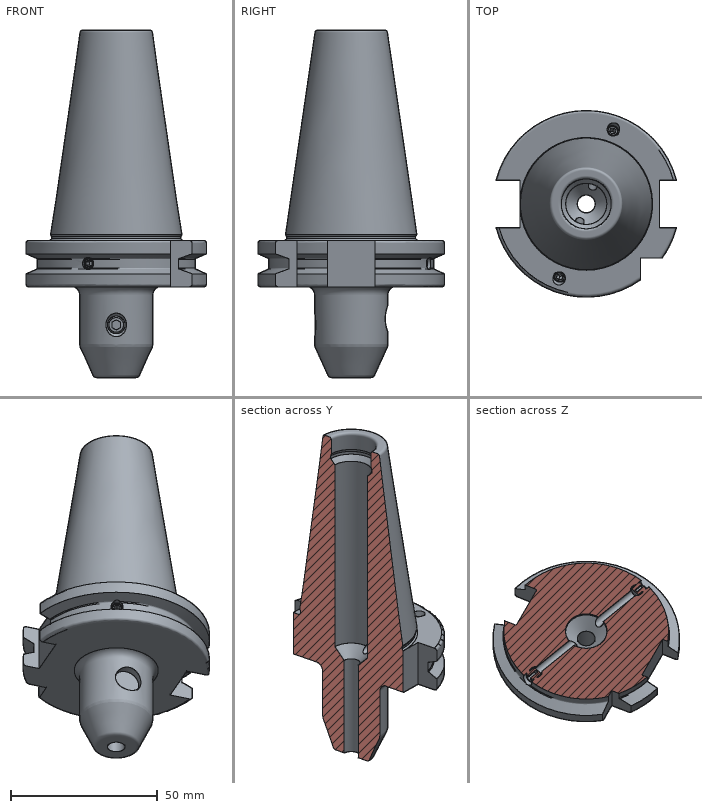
import cadquery as cq
import math

clearance = 1.0

gauge_radius = 44.45 / 2
taper_length = 68.4
taper_slope = 7 / 48
taper_top_radius = gauge_radius - taper_length * taper_slope
taper_top_rounding = 1.0
taper_end = -1.25
neck_top = -1.95
neck_bottom = -2.65
neck_radius = 22.0
neck_foot_radius = 22.6

flange_radius = 63.55 / 2
flange_top = -3.2
flange_bottom = -19.1
flange_rounding = 1.0
groove_middle = -11.2
groove_radius = 56.25 / 2
groove_half_width = 3.4
groove_flank_angle = 24.5
groove_rounding = 0.4

slot_width = 16.1
left_slot_floor = 22.6
right_slot_floor = 25.0
notch_edge = 18.5

nose_end = -50.0
body_radius = 12.5
body_root_rounding = 3.0
body_root_end = -21.85
nose_cone_start = -39.2
nose_cone_angle = 24.5
nose_shoulder_rounding = 2.5
nose_tip_rounding = 1.5

shank_bore_radius = 3.0
counterbore_radius = 8.5
counterbore_depth = 6.2
mouth_rounding = 1.0
undercut_radius = 8.8
undercut_flare_length = 0.9
undercut_end_depth = 8.15
thread_bore_radius = 7.0
shank_bore_length = 35.3
bore_cone_angle = 90

screw_height = nose_end + 18
screw_radius = 3.0
screw_top = 12.4
screw_length = 8.0
screw_chamfer = 0.5
screw_socket_width = 3.0
screw_socket_depth = 2.0
countersink_radius = 4.0

balance_hole_radius = 4.6
balance_hole_height = -29.9
balance_hole_floor = 9.5

coolant_angle = 70
channel_height = -11.1
channel_radius = 1.5
channel_plug_radius = 2.0
plug_socket_width = 2.0
plug_socket_depth = 3.4
plug_length = 4.0
plug_chamfer = 0.5
channel_plug_recess = 1.0
channel_plug_seat = groove_radius - channel_plug_recess - plug_length
port_circle_radius = 27.0
port_tilt = 22
port_radius = 2.1
port_plug_recess = 1.4


def tan_degrees(angle):
    return math.tan(math.radians(angle))


def about_z(body, angle):
    return body.rotate((0, 0, 0), (0, 0, 1), angle)


def about_y(body, angle):
    return body.rotate((0, 0, 0), (0, 1, 0), angle)


def turn(profile):
    """Revolve a profile of radius and height about Z, with the seam on the -Y side."""
    return about_z(profile.revolve(360, (0, 0, 0), (0, 1, 0)), -90)


def largest_circle_at(turned, height):
    """Largest circular edge of a turned body lying in the plane at the given height."""
    reach = 2 * flange_radius
    sliver = 0.01
    in_plane = cq.selectors.BoxSelector(
        (-reach, -reach, height - sliver),
        (reach, reach, height + sliver),
        boundingbox=True,
    )
    edges = turned.edges(in_plane).vals()
    return turned.newObject([max(edges, key=lambda edge: edge.BoundingBox().xlen)])


def rod(start, end, radius):
    """Cylinder between two points."""
    axis = cq.Vector(*end) - cq.Vector(*start)
    return cq.Workplane(obj=cq.Solid.makeCylinder(radius, axis.Length, cq.Vector(*start), axis))


def root_fillet_width(height):
    """How far the concave body root stands out from the body, at a height above its lower end."""
    return body_root_rounding - math.sqrt(body_root_rounding**2 - height**2)


def shank_and_flange():
    """Solid of revolution from the top of the taper down to the end of the nose."""
    root_height = flange_bottom - body_root_end
    middle_height = root_height / 2
    tip_radius = body_radius - (nose_cone_start - nose_end) * tan_degrees(nose_cone_angle)
    turned = turn(
        cq.Workplane("XZ")
        .moveTo(0, nose_end)
        .lineTo(tip_radius, nose_end)
        .lineTo(body_radius, nose_cone_start)
        .lineTo(body_radius, body_root_end)
        .threePointArc(
            (body_radius + root_fillet_width(middle_height), body_root_end + middle_height),
            (body_radius + root_fillet_width(root_height), flange_bottom),
        )
        .lineTo(flange_radius, flange_bottom)
        .lineTo(flange_radius, flange_top)
        .lineTo(neck_foot_radius, flange_top)
        .lineTo(neck_radius, neck_bottom)
        .lineTo(neck_radius, neck_top)
        .lineTo(gauge_radius - taper_end * taper_slope, taper_end)
        .lineTo(taper_top_radius, taper_length)
        .lineTo(0, taper_length)
        .close()
    )
    roundings = [
        (nose_end, nose_tip_rounding),
        (nose_cone_start, nose_shoulder_rounding),
        (flange_bottom, flange_rounding),
        (flange_top, flange_rounding),
        (taper_length, taper_top_rounding),
    ]
    for height, rounding in roundings:
        turned = largest_circle_at(turned, height).fillet(rounding)
    return turned


def gripper_groove():
    """V-shaped ring groove with a flat floor and rounded floor corners."""
    flank_slope = tan_degrees(groove_flank_angle)
    floor_half_width = groove_half_width - (flange_radius - groove_radius) * flank_slope
    outer_radius = flange_radius + clearance
    outer_half_width = groove_half_width + clearance * flank_slope
    ring = turn(
        cq.Workplane("XZ")
        .moveTo(groove_radius, groove_middle - floor_half_width)
        .lineTo(outer_radius, groove_middle - outer_half_width)
        .lineTo(outer_radius, groove_middle + outer_half_width)
        .lineTo(groove_radius, groove_middle + floor_half_width)
        .close()
    )
    for side in (-1, 1):
        floor_corner = largest_circle_at(ring, groove_middle + side * floor_half_width)
        ring = floor_corner.fillet(groove_rounding)
    return ring


def block(x_min, x_max, y_min, y_max):
    """Box through the full height of the flange."""
    height = flange_top - flange_bottom
    corner = (x_min, y_min, flange_bottom)
    return cq.Workplane("XY").box(x_max - x_min, y_max - y_min, height, centered=False).translate(corner)


def flange_cutouts():
    """Two driving slots of different depth and the corner notch that marks the orientation."""
    reach = flange_radius + clearance
    half_width = slot_width / 2
    left_slot = block(-reach, -left_slot_floor, -half_width, half_width)
    right_slot = block(right_slot_floor, reach, -half_width, half_width)
    notch = block(notch_edge, reach, -reach, -notch_edge)
    return left_slot.union(right_slot).union(notch)


def bore():
    """Bore from the pull stud counterbore and its undercut down to the tool shank bore."""
    top = taper_length
    countersink_end = undercut_end_depth + undercut_radius - thread_bore_radius
    shank_bore_top = nose_end + shank_bore_length
    cone_length = (thread_bore_radius - shank_bore_radius) / tan_degrees(bore_cone_angle / 2)
    return turn(
        cq.Workplane("XZ")
        .moveTo(0, nose_end)
        .lineTo(shank_bore_radius, nose_end)
        .lineTo(shank_bore_radius, shank_bore_top)
        .lineTo(thread_bore_radius, shank_bore_top + cone_length)
        .lineTo(thread_bore_radius, top - countersink_end)
        .lineTo(undercut_radius, top - undercut_end_depth)
        .lineTo(undercut_radius, top - counterbore_depth - undercut_flare_length)
        .lineTo(counterbore_radius, top - counterbore_depth)
        .lineTo(counterbore_radius, top - mouth_rounding)
        .radiusArc((counterbore_radius + mouth_rounding, top), mouth_rounding)
        .lineTo(0, top)
        .close()
    )


def screw_countersink():
    """Right-angled countersink left open around the clamping screw."""
    cone = cq.Solid.makeCone(
        countersink_radius + clearance,
        screw_radius,
        countersink_radius + clearance - screw_radius,
        cq.Vector(0, -body_radius - clearance, screw_height),
        cq.Vector(0, 1, 0),
    )
    return cq.Workplane(obj=cone)


def set_screw(radius, length, chamfer, socket_width, socket_depth):
    """Set screw standing on the XY plane, its chamfered end and hexagon socket at the top."""
    socket_diameter = socket_width / math.cos(math.pi / 6)
    return (
        cq.Workplane("XY")
        .circle(radius)
        .extrude(length)
        .faces(">Z")
        .edges()
        .chamfer(chamfer)
        .faces(">Z")
        .workplane()
        .polygon(6, socket_diameter)
        .cutBlind(-socket_depth)
    )


def clamping_screw():
    """Set screw seated in the wall of the nose, a corner of its socket pointing up."""
    screw = set_screw(screw_radius, screw_length, screw_chamfer, screw_socket_width, screw_socket_depth)
    lying = about_z(screw, 90).rotate((0, 0, 0), (1, 0, 0), 90)
    return lying.translate((0, screw_length - screw_top, screw_height))


def balance_hole():
    """Blind hole opposite the clamping screw."""
    return rod(
        (0, balance_hole_floor, balance_hole_height),
        (0, body_radius + clearance, balance_hole_height),
        balance_hole_radius,
    )


def port_point(distance):
    """Point on the port axis, a given distance below the flange face along that axis."""
    tilt = math.radians(port_tilt)
    radius = port_circle_radius - distance * math.sin(tilt)
    return (radius, 0, flange_top - distance * math.cos(tilt))


def coolant_passage():
    """Radial channel from the bore to the groove and the tilted port that joins it, along +X."""
    outer_end = (groove_radius + clearance, 0, channel_height)
    channel = rod((0, 0, channel_height), outer_end, channel_radius)
    plug_hole = rod((channel_plug_seat, 0, channel_height), outer_end, channel_plug_radius)
    port_length = (flange_top - channel_height) / math.cos(math.radians(port_tilt))
    port = rod(port_point(-clearance), port_point(port_length), port_radius)
    return channel.union(plug_hole).union(port)


def coolant_plug(radius):
    return set_screw(radius, plug_length, plug_chamfer, plug_socket_width, plug_socket_depth)


def channel_plug():
    """Set screw closing the channel below the groove floor."""
    return about_y(coolant_plug(channel_plug_radius), 90).translate((channel_plug_seat, 0, channel_height))


def port_plug():
    """Set screw closing the port below the flange face."""
    seat = port_point(port_plug_recess + plug_length)
    return about_y(coolant_plug(port_radius), port_tilt).translate(seat)


result = shank_and_flange()
result = result.cut(gripper_groove()).cut(flange_cutouts()).cut(bore())
result = result.cut(screw_countersink()).union(clamping_screw())
result = result.cut(balance_hole())
for angle in (coolant_angle, coolant_angle + 180):
    result = result.cut(about_z(coolant_passage(), angle))
    result = result.union(about_z(channel_plug(), angle))
    result = result.union(about_z(port_plug(), angle))